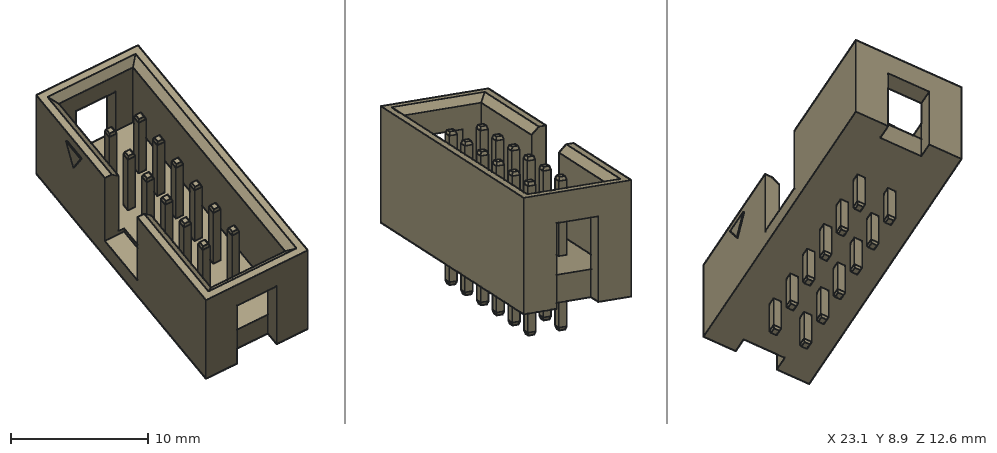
import cadquery as cq


length = 23.05
depth = 8.8
height = 8.99
wall = 1.2
floor_top = 2.17

bevel_width = 0.6
bevel_height = 0.55

notch_width = 4.4
notch_bottom = 1.8
notch_reach = 1.65

slot_width = 3.4
slot_top = 6.61

pin_columns = 6
pin_rows = 2
pin_pitch = 2.53
pin_side = 0.65
pin_top = 8.23
pin_bottom = -3.62
tip_height = 0.28
tip_inset = 0.1

mark_width = 2.0
mark_height = 2.0
mark_drop = 0.97
mark_top = height - mark_drop
mark_thickness = 0.1

front_y = -depth / 2
first_pin_x = -pin_pitch * (pin_columns - 1) / 2


def box_on(size_x, size_y, size_z, bottom_z):
    """Box centred on X and Y, standing on the given height."""
    return (
        cq.Workplane("XY")
        .workplane(offset=bottom_z)
        .rect(size_x, size_y)
        .extrude(size_z)
    )


def frustum(bottom_size, top_size, bottom_z, rise):
    """Rectangular block whose sides slope from the bottom size to the top size."""
    return (
        cq.Workplane("XY")
        .workplane(offset=bottom_z)
        .rect(*bottom_size)
        .workplane(offset=rise)
        .rect(*top_size)
        .loft(ruled=True)
    )


def make_cavity():
    inner = (length - 2 * wall, depth - 2 * wall)
    mouth = (inner[0] + 2 * bevel_width, inner[1] + 2 * bevel_width)
    well = box_on(*inner, height - floor_top, floor_top)
    bevel = frustum(inner, mouth, height - bevel_height, bevel_height)
    return well.union(bevel)


def make_notch():
    notch = box_on(notch_width, notch_reach, height - notch_bottom, notch_bottom)
    return notch.translate((0, front_y + notch_reach / 2, 0))


def make_end_slot(side):
    slot = box_on(wall, slot_width, slot_top, 0)
    return slot.translate((side * (length - wall) / 2, 0, 0))


def make_pin():
    full = (pin_side, pin_side)
    tip = (pin_side - 2 * tip_inset, pin_side - 2 * tip_inset)
    shank_bottom = pin_bottom + tip_height
    shank_top = pin_top - tip_height
    shank = box_on(*full, shank_top - shank_bottom, shank_bottom)
    lower_tip = frustum(tip, full, pin_bottom, tip_height)
    upper_tip = frustum(full, tip, shank_top, tip_height)
    return shank.union(lower_tip).union(upper_tip)


def make_mark():
    corners = [
        (first_pin_x - mark_width / 2, mark_top),
        (first_pin_x + mark_width / 2, mark_top),
        (first_pin_x, mark_top - mark_height),
    ]
    return (
        cq.Workplane("XZ", origin=(0, front_y, 0))
        .polyline(corners)
        .close()
        .extrude(mark_thickness)
    )


housing = box_on(length, depth, height, 0).cut(make_cavity()).cut(make_notch())
for end in (-1, 1):
    housing = housing.cut(make_end_slot(end))

result = housing.union(make_mark())
pin = make_pin()
for column in range(pin_columns):
    for row in range(pin_rows):
        pin_x = first_pin_x + column * pin_pitch
        pin_y = (row - (pin_rows - 1) / 2) * pin_pitch
        result = result.union(pin.translate((pin_x, pin_y, 0)))